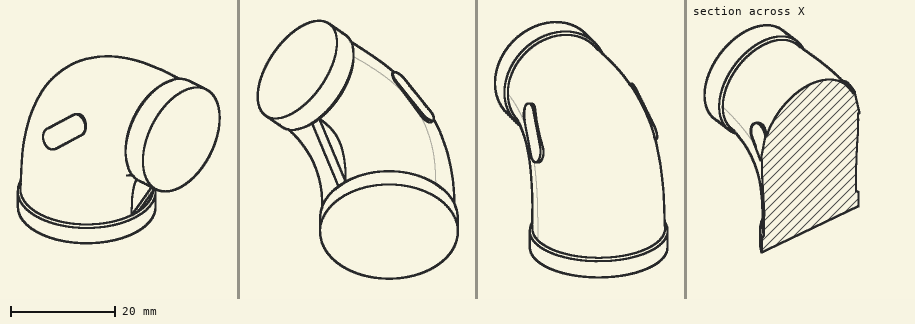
import cadquery as cq
import math

length = 38.25
inlet_diameter = 26.5
outlet_diameter = 21.5
overall_height = 36.75
inlet_x = inlet_diameter / 2
outlet_z = overall_height - outlet_diameter / 2

inlet_collar_length = 3.98
outlet_collar_length = 5.05
collar_chamfer = 0.5
body_start_z = inlet_collar_length
body_end_x = length - outlet_collar_length

inlet_body_radius = inlet_diameter / 2 - collar_chamfer
outlet_body_radius = outlet_diameter / 2 - collar_chamfer
inlet_handle = 0.86
outlet_handle = 0.62
taper_power = 1.5
section_count = 9

inner_start = (inlet_x + inlet_body_radius, body_start_z)
inner_end = (body_end_x, outlet_z - outlet_body_radius)

web_thickness = 1.9
web_overlap = 4.6

pad_width = 4.2
pad_length = 12.05
pad_center = (18.35, 11.7, 24.48)
pad_slope = 42.0
pad_tilt = 12.0
pad_depth = 1.9


def bend_point(start, end, t):
    """Point on a curve that leaves start along Z and reaches end along X."""
    x0, z0 = start
    x1, z1 = end
    start_weight = (1 - t) ** 3
    start_handle_weight = 3 * t * (1 - t) ** 2
    end_handle_weight = 3 * t**2 * (1 - t)
    end_weight = t**3
    start_handle_z = z0 + inlet_handle * (z1 - z0)
    end_handle_x = x1 + outlet_handle * (x0 - x1)
    x = (start_weight + start_handle_weight) * x0 + end_handle_weight * end_handle_x + end_weight * x1
    z = start_weight * z0 + start_handle_weight * start_handle_z + (end_handle_weight + end_weight) * z1
    return cq.Vector(x, 0, z)


def collar(center, direction, diameter, depth):
    """Plain collar growing from its open end, chamfered where it meets the body."""
    open_end = cq.Plane(origin=center, xDir=(0, 1, 0), normal=direction)
    cylinder = cq.Workplane(open_end).circle(diameter / 2).extrude(depth)
    return cylinder.faces(cq.selectors.DirectionMinMaxSelector(cq.Vector(direction))).chamfer(collar_chamfer)


def body_section(t):
    """Ellipse spanning the outer and inner bend curves."""
    outer_start = (inlet_x - inlet_body_radius, body_start_z)
    outer_end = (body_end_x, outlet_z + outlet_body_radius)
    outer = bend_point(outer_start, outer_end, t)
    inner = bend_point(inner_start, inner_end, t)
    across = inner - outer
    normal = across.cross(cq.Vector(0, 1, 0)).normalized()
    half_height = across.Length / 2
    taper = t**taper_power
    half_width = inlet_body_radius + (outlet_body_radius - inlet_body_radius) * taper
    return cq.Wire.makeEllipse(half_height, half_width, (outer + inner) / 2, normal, across)


def bent_body():
    """Smooth loft from the inlet collar to the outlet collar."""
    sections = [body_section(i / (section_count - 1)) for i in range(section_count)]
    return cq.Workplane(cq.Solid.makeLoft(sections))


def corner_web():
    """Plate closing the inside corner, with its hidden edges buried in the body."""
    start_x, start_z = inner_start
    end_x, end_z = inner_end
    buried_x = start_x - web_overlap
    buried_z = end_z + web_overlap
    outline = [inner_start, inner_end, (end_x, buried_z), (buried_x, buried_z), (buried_x, start_z)]
    return cq.Workplane("XZ").polyline(outline).close().extrude(web_thickness / 2, both=True)


def label_pad():
    """Rounded pad on the +Y flank."""
    tilt = math.radians(pad_tilt)
    face = cq.Plane(origin=pad_center, xDir=(1, 0, 0), normal=(0, math.cos(tilt), math.sin(tilt)))
    return cq.Workplane(face).slot2D(pad_length, pad_width, -pad_slope).extrude(-pad_depth)


inlet_collar = collar((inlet_x, 0, 0), (0, 0, 1), inlet_diameter, inlet_collar_length)
outlet_collar = collar((length, 0, outlet_z), (-1, 0, 0), outlet_diameter, outlet_collar_length)
pad = label_pad()

result = (
    bent_body()
    .union(inlet_collar)
    .union(outlet_collar)
    .union(corner_web())
    .union(pad)
    .union(pad.mirror("XZ"))
)